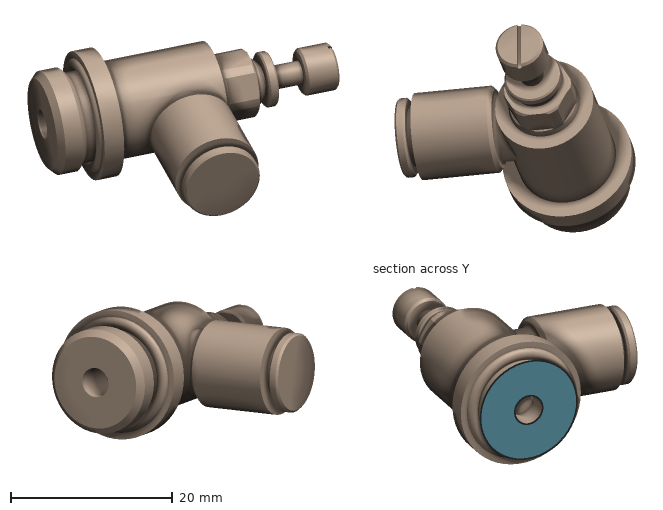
import cadquery as cq


plug_radius = 6.58
plug_chamfer = 0.8
plug_neck_radius = 5.75
plug_shoulder_start = 3.1
plug_shoulder_end = plug_shoulder_start + plug_radius - plug_neck_radius
bore_radius = 1.85
bore_depth = 6.0

flange_radius = 8.15
flange_start = 5.4
flange_end = 7.95
seal_tube_radius = 0.8
seal_centre_radius = plug_neck_radius + seal_tube_radius
seal_start = 4.85
seal_centre = seal_start + seal_tube_radius

body_radius = 6.2
body_end = 22.2

collar_radius = 4.5
collar_top_radius = 4.27
collar_end = body_end + 0.9
nut_radius = 4.32
nut_flats = 8.0
nut_end = 27.1
nut_chamfer = 0.25

boss_radius = 2.9
boss_end = nut_end + 1.25
boss_chamfer = 0.55
disc_neck_radius = 2.0
disc_radius = 3.5
disc_start = 28.6
disc_end = 29.85
disc_chamfer = 0.2

stem_radius = 1.5
head_radius = 3.0
head_start = 33.65
head_end = 37.95
head_chamfer = 0.3
slot_width = 0.5
slot_depth = 0.6

port_station = 17.15
port_neck_radius = 4.15
port_radius = 5.43
port_chamfer = 0.5
port_start = 6.7
port_end = 16.85
port_fillet = 0.45
collet_neck_radius = 3.65
collet_radius = 4.95
collet_start = 17.7
collet_end = 19.0
collet_chamfer = 0.25


def rod(radius, start, end):
    """Cylinder about the Y axis between two stations."""
    plane = cq.Plane(origin=(0, start, 0), xDir=(1, 0, 0), normal=(0, 1, 0))
    return cq.Workplane(plane).circle(radius).extrude(end - start)


def port_rod(radius, start, end):
    """Cylinder about the port axis between two stations along X."""
    plane = cq.Plane(origin=(start, port_station, 0), xDir=(0, 1, 0), normal=(1, 0, 0))
    return cq.Workplane(plane).circle(radius).extrude(end - start)


def turned(profile):
    """Solid of revolution about the Y axis from (radius, station) points."""
    return cq.Workplane("XY").polyline(profile).close().revolve(360, (0, 0), (0, 1))


def make_plug():
    profile = [
        (0, 0),
        (plug_radius - plug_chamfer, 0),
        (plug_radius, plug_chamfer),
        (plug_radius, plug_shoulder_start),
        (plug_neck_radius, plug_shoulder_end),
        (plug_neck_radius, flange_start),
        (0, flange_start),
    ]
    return turned(profile)


def make_seal():
    return (
        cq.Workplane("XY")
        .center(seal_centre_radius, seal_centre)
        .circle(seal_tube_radius)
        .revolve(360, (-seal_centre_radius, 0), (-seal_centre_radius, 1))
    )


def make_body():
    return rod(flange_radius, flange_start, flange_end).union(rod(body_radius, flange_end, body_end))


def make_nut():
    collar_profile = [
        (0, body_end),
        (collar_radius, body_end),
        (collar_top_radius, collar_end),
        (0, collar_end),
    ]
    collar = turned(collar_profile)
    plane = cq.Plane(origin=(0, body_end, 0), xDir=(0, 0, 1), normal=(0, 1, 0))
    hexagon = cq.Workplane(plane).polygon(6, nut_flats, circumscribed=True).extrude(nut_end - body_end)
    rounding = rod(nut_radius, body_end, nut_end).faces(">Y").chamfer(nut_chamfer)
    return hexagon.intersect(rounding).union(collar)


def make_adjuster():
    boss = rod(boss_radius, nut_end, boss_end).faces(">Y").chamfer(boss_chamfer)
    neck = rod(disc_neck_radius, boss_end, disc_start)
    disc = rod(disc_radius, disc_start, disc_end).edges().chamfer(disc_chamfer)
    stem = rod(stem_radius, disc_end, head_start)
    head = rod(head_radius, head_start, head_end).edges().chamfer(head_chamfer)
    slot = cq.Workplane("XY").box(slot_width, 2 * slot_depth, 2 * head_radius)
    head = head.cut(slot.translate((0, head_end, 0)))
    return boss.union(neck).union(disc).union(stem).union(head)


def make_port():
    neck = port_rod(port_neck_radius, 0, port_start)
    sleeve = port_rod(port_radius, port_start, port_end).faces("<X").chamfer(port_chamfer)
    narrow_edges = cq.selectors.RadiusNthSelector(0)
    root = neck.union(sleeve).edges(narrow_edges).edges(">X").fillet(port_fillet)
    collet_neck = port_rod(collet_neck_radius, port_end, collet_start)
    collet = port_rod(collet_radius, collet_start, collet_end).edges().chamfer(collet_chamfer)
    return root.union(collet_neck).union(collet)


result = make_plug()
for piece in (make_seal(), make_body(), make_nut(), make_adjuster(), make_port()):
    result = result.union(piece)
result = result.cut(rod(bore_radius, 0, bore_depth))